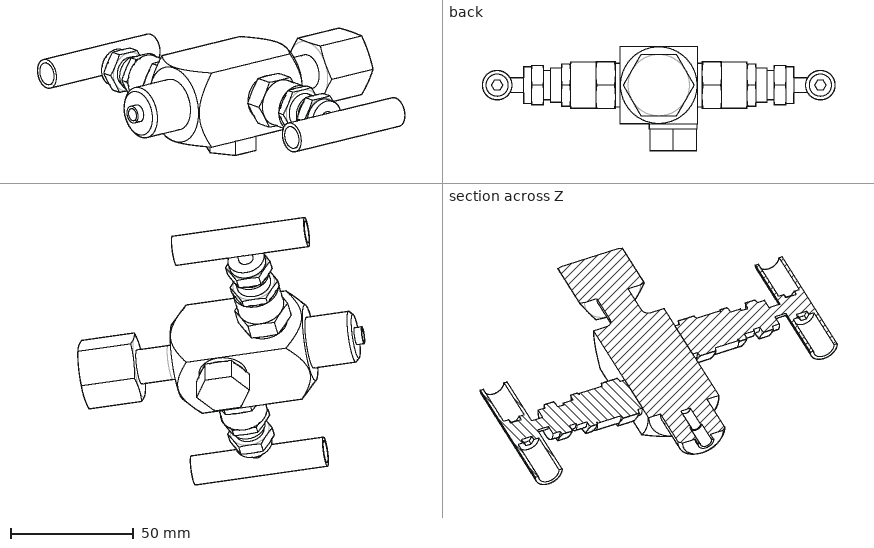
import cadquery as cq
import math

BLOCK_SIDE = 31.5
BLOCK_LENGTH = 55.0
BLOCK_FACE_DIA = 31.1

SPIGOT_DIA = 21.0
SPIGOT_LENGTH = 19.0
SPIGOT_CHAMFER = 1.5
TIP_DIA = 7.0
TIP_LENGTH = 3.0
TIP_MOUTH_DIA = 5.0
TIP_MOUTH_DEPTH = 10.0
BORE_DIA = 4.0
BORE_DEPTH = 20.1

NECK_DIA = 14.0
NECK_LENGTH = 16.1
NECK_FILLET = 3.0
NUT_FLATS = 25.0
NUT_LENGTH = 23.0

PLUG_X = -5.9
PLUG_Y = 35.0
PLUG_COLLAR_DIA = 19.5
PLUG_COLLAR_HEIGHT = 2.0
PLUG_FLATS = 19.0
PLUG_HEX_HEIGHT = 8.9
PLUG_TURN = 30.0

LEFT_VALVE_Y = 15.0
RIGHT_VALVE_Y = 35.0
COLLAR_DIA = 18.0
COLLAR_LENGTH = 1.9
BODY_FLATS = 19.1
BODY_HEX_LENGTH = 7.9
BONNET_DIA = 19.0
BONNET_LENGTH = 10.3
BONNET_FLATS = 17.2
BONNET_HEX_LENGTH = 3.7
SLEEVE_DIA = 14.0
SLEEVE_LENGTH = 4.5
GLAND_NECK_DIA = 12.0
GLAND_NECK_LENGTH = 2.7
GLAND_FLATS = 16.1
GLAND_HEX_LENGTH = 5.0
CAP_DIA = 15.0
CAP_LENGTH = 3.2
STEM_DIA = 6.0

OVERALL_WIDTH = 143.5
HANDLE_DIA = 12.0
HANDLE_LENGTH = 55.0
HANDLE_BORE_DIA = 9.0
HANDLE_BORE_DEPTH = 20.1
SOCKET_FLATS = 4.0
SOCKET_DEPTH = 2.0

HEX_CHAMFER_ANGLE = 15.0

FRONT = cq.Vector(0, -1, 0)
REAR = cq.Vector(0, 1, 0)
DOWN = cq.Vector(0, 0, -1)


def plane_along(origin, axis):
    """Plane at origin facing axis, with local X along +X (along +Y if the axis is X)."""
    local_x = (0, 1, 0) if abs(axis.x) > 0 else (1, 0, 0)
    return cq.Plane(origin=origin, xDir=local_x, normal=axis.toTuple())


def cylinder(origin, axis, diameter, length):
    return cq.Workplane(plane_along(origin, axis)).circle(diameter / 2).extrude(length)


def across_corners(flats):
    """Width of a regular hexagon over its corners, from its width over its flats."""
    return flats / math.cos(math.pi / 6)


def hexagon(origin, axis, flats, length, turn=0.0):
    """Hexagonal prism; at turn = 0 two corners lie along the local X of its plane."""
    plane = plane_along(origin, axis).rotated((0, 0, turn))
    return cq.Workplane(plane).polygon(6, across_corners(flats)).extrude(length)


def turn_ends(bar, origin, axis, face_dia, corner_dia, depth, length):
    """Turn both bar ends to cones: face_dia on each end face, corner_dia at depth behind it."""
    face_radius = face_dia / 2
    corner_radius = corner_dia / 2
    base = plane_along(origin, axis)
    half_section = cq.Plane(origin=origin, xDir=base.xDir.toTuple(), normal=base.xDir.cross(axis).toTuple())
    envelope = (
        cq.Workplane(half_section)
        .polyline([
            (0, 0),
            (face_radius, 0),
            (corner_radius, depth),
            (corner_radius, length - depth),
            (face_radius, length),
            (0, length),
        ])
        .close()
        .revolve(360, (0, 0), (0, 1))
    )
    return bar.intersect(envelope)


def turned_hexagon(origin, axis, flats, length):
    """Hexagonal prism whose corners are chamfered at both ends."""
    corner_dia = across_corners(flats)
    depth = (corner_dia - flats) / 2 * math.tan(math.radians(HEX_CHAMFER_ANGLE))
    bar = hexagon(origin, axis, flats, length)
    return turn_ends(bar, origin, axis, flats, corner_dia, depth, length)


def square_block():
    corner_dia = BLOCK_SIDE * math.sqrt(2)
    depth = (corner_dia - BLOCK_FACE_DIA) / 2
    origin = (0, 0, 0)
    bar = cq.Workplane(plane_along(origin, REAR)).rect(BLOCK_SIDE, BLOCK_SIDE).extrude(BLOCK_LENGTH)
    return turn_ends(bar, origin, REAR, BLOCK_FACE_DIA, corner_dia, depth, BLOCK_LENGTH)


def inlet_spigot():
    spigot = cylinder((0, 0, 0), FRONT, SPIGOT_DIA, SPIGOT_LENGTH)
    spigot = spigot.faces("<Y").chamfer(SPIGOT_CHAMFER)
    tip = cylinder((0, -SPIGOT_LENGTH, 0), FRONT, TIP_DIA, TIP_LENGTH)
    return spigot.union(tip)


def inlet_bore():
    """Blind stepped bore from the tip end."""
    tip_end = (0, -SPIGOT_LENGTH - TIP_LENGTH, 0)
    mouth = cylinder(tip_end, REAR, TIP_MOUTH_DIA, TIP_MOUTH_DEPTH)
    return mouth.union(cylinder(tip_end, REAR, BORE_DIA, BORE_DEPTH))


def outlet_neck():
    """Round neck that flares into the block through a concave fillet."""
    radius = NECK_DIA / 2
    fillet_middle = NECK_FILLET * (1 - math.sqrt(0.5))
    return (
        cq.Workplane("XY", origin=(0, BLOCK_LENGTH, 0))
        .lineTo(radius + NECK_FILLET, 0)
        .threePointArc((radius + fillet_middle, fillet_middle), (radius, NECK_FILLET))
        .lineTo(radius, NECK_LENGTH)
        .lineTo(0, NECK_LENGTH)
        .close()
        .revolve(360, (0, 0), (0, 1))
    )


def union_nut():
    return turned_hexagon((0, BLOCK_LENGTH + NECK_LENGTH, 0), REAR, NUT_FLATS, NUT_LENGTH)


def vent_plug():
    block_bottom = -BLOCK_SIDE / 2
    hex_top = block_bottom - PLUG_COLLAR_HEIGHT
    collar = cylinder((PLUG_X, PLUG_Y, block_bottom), DOWN, PLUG_COLLAR_DIA, PLUG_COLLAR_HEIGHT)
    head = hexagon((PLUG_X, PLUG_Y, hex_top), DOWN, PLUG_FLATS, PLUG_HEX_HEIGHT, PLUG_TURN)
    return collar.union(head)


def manifold_body():
    body = square_block()
    for feature in (inlet_spigot(), outlet_neck(), union_nut(), vent_plug()):
        body = body.union(feature)
    return body.cut(inlet_bore())


def t_handle(center_x, center_y):
    """Round bar with a blind bore and a hexagonal socket in each end."""
    half_length = HANDLE_LENGTH / 2
    handle = cylinder((center_x, center_y - half_length, 0), REAR, HANDLE_DIA, HANDLE_LENGTH)
    for inward in (FRONT, REAR):
        end_y = center_y - inward.y * half_length
        floor_y = end_y + inward.y * HANDLE_BORE_DEPTH
        handle = handle.cut(cylinder((center_x, end_y, 0), inward, HANDLE_BORE_DIA, HANDLE_BORE_DEPTH))
        handle = handle.cut(hexagon((center_x, floor_y, 0), inward, SOCKET_FLATS, SOCKET_DEPTH))
    return handle


def valve(side, axis_y):
    """Bonnet, gland, stem and handle as one solid; side is +1 for the +X face, -1 for the -X face."""
    outward = cq.Vector(side, 0, 0)
    steps = (
        (cylinder, COLLAR_DIA, COLLAR_LENGTH),
        (turned_hexagon, BODY_FLATS, BODY_HEX_LENGTH),
        (cylinder, BONNET_DIA, BONNET_LENGTH),
        (turned_hexagon, BONNET_FLATS, BONNET_HEX_LENGTH),
        (cylinder, SLEEVE_DIA, SLEEVE_LENGTH),
        (cylinder, GLAND_NECK_DIA, GLAND_NECK_LENGTH),
        (turned_hexagon, GLAND_FLATS, GLAND_HEX_LENGTH),
        (cylinder, CAP_DIA, CAP_LENGTH),
    )
    handle_x = (OVERALL_WIDTH - HANDLE_DIA) / 2
    assembly = t_handle(side * handle_x, axis_y)
    reach = BLOCK_SIDE / 2
    for make_step, size, length in steps:
        assembly = assembly.union(make_step((side * reach, axis_y, 0), outward, size, length))
        reach += length
    stem = cylinder((side * reach, axis_y, 0), outward, STEM_DIA, handle_x - reach)
    return assembly.union(stem)


body = manifold_body()
valves = [valve(side, axis_y) for side, axis_y in ((-1, LEFT_VALVE_Y), (1, RIGHT_VALVE_Y))]

result = cq.Compound.makeCompound([body.val(), *[one_valve.val() for one_valve in valves]])